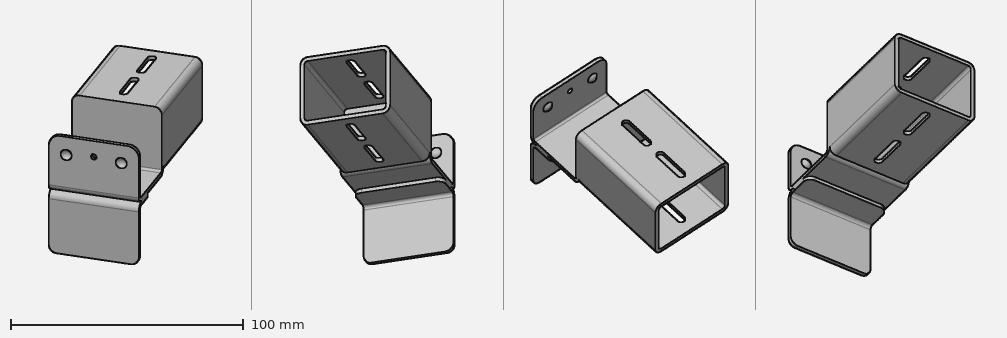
import cadquery as cq

width = 41.0
length = 83.6
height = 61.5

sheet = 1.9
inner_bend = 1.1
outer_bend = inner_bend + sheet

box_length = 53.25
box_front = length - box_length
box_bottom = 29.35
box_height = height - box_bottom
box_corner = 3.4

seam_step = 0.2
seam_height = box_bottom - seam_step
upper_plate_top = 56.0
upper_corner = 5.0
bracket_depth = 15.2
bracket_corner = 3.6
bracket_inner_bend = 1.7
bracket_outer_bend = bracket_inner_bend + sheet

slot_width = 3.7
slot_length = 17.55
slot_pitch = 23.0
rear_slot_center = length - 14.1

dimple_spacing = 25.1
dimple_height = 47.5
dimple_radius = 2.5
dimple_depth = 1.5
pilot_diameter = 2.5
pilot_height = 48.5


def block(x_size, y_min, y_max, z_min, z_max):
    """Block centred on x = 0."""
    size = (x_size, y_max - y_min, z_max - z_min)
    return cq.Workplane("XY").box(*size, centered=(True, False, False)).translate((0, y_min, z_min))


def extrude_profile(profile):
    """Extrude a closed side profile symmetrically across the width."""
    return profile.close().extrude(width / 2, both=True)


def make_box():
    """Rounded tube, open at the rear and closed by a front wall."""
    outside = block(width, box_front + sheet, length, box_bottom, height)
    outside = outside.edges("|Y").fillet(box_corner)
    cavity = block(width - 2 * sheet, box_front + sheet, length, box_bottom + sheet, height - sheet)
    cavity = cavity.edges("|Y").fillet(box_corner - sheet)
    return outside.cut(cavity)


def cut_slots(body):
    """Two slots in line, through the top and bottom of the box."""
    for center_y in (rear_slot_center, rear_slot_center - slot_pitch):
        cutter = (
            cq.Workplane("XY", origin=(0, center_y, box_bottom - sheet))
            .slot2D(slot_length, slot_width, 90)
            .extrude(box_height + 2 * sheet)
        )
        body = body.cut(cutter)
    return body


def make_folded_sheet():
    """Front wall of the box, shelf and upper plate, folded from one sheet."""
    shelf_top = seam_height + sheet
    wall_back = box_front + sheet
    profile = (
        cq.Workplane("YZ")
        .moveTo(outer_bend, seam_height)
        .lineTo(wall_back - outer_bend, seam_height)
        .radiusArc((wall_back, seam_height + outer_bend), -outer_bend)
        .lineTo(wall_back, height)
        .lineTo(box_front, height)
        .lineTo(box_front, shelf_top + inner_bend)
        .radiusArc((box_front - inner_bend, shelf_top), inner_bend)
        .lineTo(outer_bend, shelf_top)
        .radiusArc((sheet, shelf_top + inner_bend), inner_bend)
        .lineTo(sheet, upper_plate_top)
        .lineTo(0, upper_plate_top)
        .lineTo(0, seam_height + outer_bend)
        .radiusArc((outer_bend, seam_height), -outer_bend)
    )
    body = extrude_profile(profile)
    body = body.faces(">Z").edges("|Y").fillet(box_corner)
    plate_corners = cq.selectors.BoxSelector(
        (-width, -sheet, upper_plate_top - sheet),
        (width, 2 * sheet, upper_plate_top + sheet),
    )
    return body.edges("|Y").edges(plate_corners).fillet(upper_corner)


def make_bracket():
    """Lower angle bracket with rounded free corners, under the shelf."""
    underside = seam_height - sheet
    profile = (
        cq.Workplane("YZ")
        .moveTo(0, 0)
        .lineTo(sheet, 0)
        .lineTo(sheet, underside - bracket_inner_bend)
        .radiusArc((bracket_outer_bend, underside), bracket_inner_bend)
        .lineTo(bracket_depth, underside)
        .lineTo(bracket_depth, seam_height)
        .lineTo(bracket_outer_bend, seam_height)
        .radiusArc((0, seam_height - bracket_outer_bend), -bracket_outer_bend)
    )
    body = extrude_profile(profile)
    body = body.faces("<Z").edges("|Y").fillet(bracket_corner)
    return body.faces(">Y").edges("|Z").fillet(bracket_corner)


def dimple_cap(x, base_y):
    """Spherical cap rising toward +Y from a circular base at base_y."""
    sphere_radius = (dimple_radius**2 + dimple_depth**2) / (2 * dimple_depth)
    center = (x, base_y + dimple_depth - sphere_radius, dimple_height)
    sphere = cq.Workplane("XY").sphere(sphere_radius).translate(center)
    keep = block(width, base_y, base_y + dimple_depth, 0, height)
    return sphere.intersect(keep)


def add_dimples(body):
    """Press each dimple from the front, raising a bump behind the plate."""
    for x in (-dimple_spacing / 2, dimple_spacing / 2):
        body = body.union(dimple_cap(x, sheet))
        body = body.cut(dimple_cap(x, 0))
    return body


def cut_pilot_hole(body):
    """Small hole through the upper plate, between the dimples."""
    cutter = (
        cq.Workplane("XZ", origin=(0, 0, pilot_height))
        .circle(pilot_diameter / 2)
        .extrude(-2 * sheet)
    )
    return body.cut(cutter)


result = make_box().union(make_folded_sheet()).union(make_bracket())
result = cut_slots(result)
result = add_dimples(result)
result = cut_pilot_hole(result)